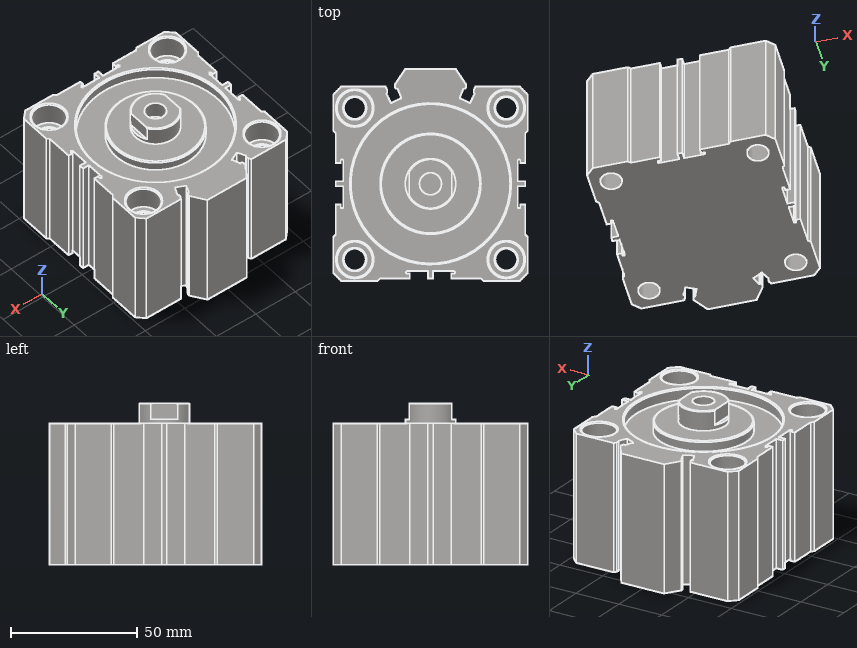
import cadquery as cq

width = 77.0
half_width = width / 2
height = 56.0
corner_chamfer = 3.2

band_depth = 1.0
band_half = 20.0
slot_half = 8.15
slot_depth = 2.9
lip_thickness = 2.0
undercut = 1.5
undercut_chamfer = 0.3
rib_half = 1.0

overall_depth = 84.0
rail_top = overall_depth - half_width
rail_top_half = 10.0
rail_shoulder = (14.2, 39.2)
rail_lip_outer = (14.1, 38.3)
rail_lip_tip = (13.8, 37.55)
rail_lip_root = (13.0, 37.55)
rail_slot_inner = (11.6, 33.9)
rail_slot_outer = (15.6, 32.0)
side_lip_root = (17.4, 35.6)
side_lip_tip = (17.05, 36.1)
side_lip_outer = (17.1, 37.3)
rail_gap_half = 17.8

bore_diameter = 63.0
bore_depth = 5.0
bore_chamfer = 0.5
boss_diameter = 40.0
boss_height = 4.45
boss_chamfer = 0.5

hole_pitch = 60.0
hole_diameter = 8.6
hole_chamfer = 0.4
counterbore_diameter = 14.0
counterbore_depth = 10.5
counterbore_chamfer = 0.5

rod_diameter = 20.0
rod_top = 64.0
rod_chamfer = 0.3
flat_width = 17.0
flat_length = 6.5
rod_hole_diameter = 8.7
rod_hole_depth = 7.6

bore_floor = height - bore_depth
boss_top = bore_floor + boss_height


def mirrored(half_outline):
    """Close an outline that is symmetric about the Y axis from its X > 0 half."""
    return half_outline + [(-x, y) for x, y in reversed(half_outline)]


def block():
    return (
        cq.Workplane("XY")
        .rect(2 * half_width, 2 * half_width)
        .extrude(height)
        .edges("|Z")
        .chamfer(corner_chamfer)
    )


def band_cutter(angle):
    """Recessed band and its T-slots on the -Y side, turned about Z by angle degrees."""
    outer = -half_width
    floor = outer + band_depth
    lip_back = floor + lip_thickness
    slot_floor = floor + slot_depth
    reach = slot_half + undercut
    outline = mirrored([
        (rib_half, floor),
        (rib_half, slot_floor),
        (reach - undercut_chamfer, slot_floor),
        (reach, slot_floor - undercut_chamfer),
        (reach, lip_back + undercut_chamfer),
        (reach - undercut_chamfer, lip_back),
        (slot_half, lip_back),
        (slot_half, floor),
        (band_half, floor),
        (band_half + band_depth, outer),
    ])
    cutter = cq.Workplane("XY").polyline(outline).close().extrude(height)
    return cutter.rotate((0, 0, 0), (0, 0, 1), angle)


def rail_gap():
    """Clearance in the +Y side that leaves room for the rail and its two flank slots."""
    outline = mirrored([
        rail_slot_inner,
        rail_slot_outer,
        side_lip_root,
        side_lip_tip,
        side_lip_outer,
        (rail_gap_half, half_width),
    ])
    return cq.Workplane("XY").polyline(outline).close().extrude(height)


def rail():
    outline = mirrored([
        rail_slot_inner,
        rail_lip_root,
        rail_lip_tip,
        rail_lip_outer,
        rail_shoulder,
        (rail_top_half, rail_top),
    ])
    return cq.Workplane("XY").polyline(outline).close().extrude(height)


def bore_recess():
    """Ring-shaped recess around the boss, with a chamfered mouth."""
    bore_radius = bore_diameter / 2
    boss_radius = boss_diameter / 2
    half_section = [
        (0, boss_top),
        (boss_radius - boss_chamfer, boss_top),
        (boss_radius, boss_top - boss_chamfer),
        (boss_radius, bore_floor),
        (bore_radius, bore_floor),
        (bore_radius, height - bore_chamfer),
        (bore_radius + bore_chamfer, height),
        (0, height),
    ]
    return cq.Workplane("XZ").polyline(half_section).close().revolve(360, (0, 0, 0), (0, 1, 0))


def mounting_holes():
    """Stepped cutters for the four corner holes, with both mouths chamfered."""
    hole_radius = hole_diameter / 2
    counterbore_radius = counterbore_diameter / 2
    counterbore_floor = height - counterbore_depth
    half_section = [
        (0, 0),
        (hole_radius, 0),
        (hole_radius, counterbore_floor - hole_chamfer),
        (hole_radius + hole_chamfer, counterbore_floor),
        (counterbore_radius, counterbore_floor),
        (counterbore_radius, height - counterbore_chamfer),
        (counterbore_radius + counterbore_chamfer, height),
        (0, height),
    ]
    cutter = cq.Workplane("XZ").polyline(half_section).close().revolve(360, (0, 0, 0), (0, 1, 0))
    return (
        cq.Workplane("XY")
        .rect(hole_pitch, hole_pitch, forConstruction=True)
        .vertices()
        .eachpoint(lambda place: cutter.val().moved(place))
    )


def make_housing():
    body = block()
    for angle in (-90, 0, 90):
        body = body.cut(band_cutter(angle))
    body = body.cut(rail_gap()).union(rail())
    return body.cut(bore_recess()).cut(mounting_holes())


def make_rod():
    """Rod standing on the boss, with two wrench flats facing X and a central blind hole."""
    rod = (
        cq.Workplane("XY", origin=(0, 0, boss_top))
        .circle(rod_diameter / 2)
        .extrude(rod_top - boss_top)
        .faces(">Z")
        .chamfer(rod_chamfer)
    )
    flats = (
        cq.Workplane("XY", origin=(0, 0, rod_top - flat_length))
        .rect(2 * rod_diameter, 2 * rod_diameter)
        .rect(flat_width, 2 * rod_diameter)
        .extrude(flat_length)
    )
    hole = (
        cq.Workplane("XY", origin=(0, 0, rod_top - rod_hole_depth))
        .circle(rod_hole_diameter / 2)
        .extrude(rod_hole_depth)
    )
    return rod.cut(flats).cut(hole)


housing = make_housing()
rod = make_rod()
result = cq.Compound.makeCompound([housing.val(), rod.val()])